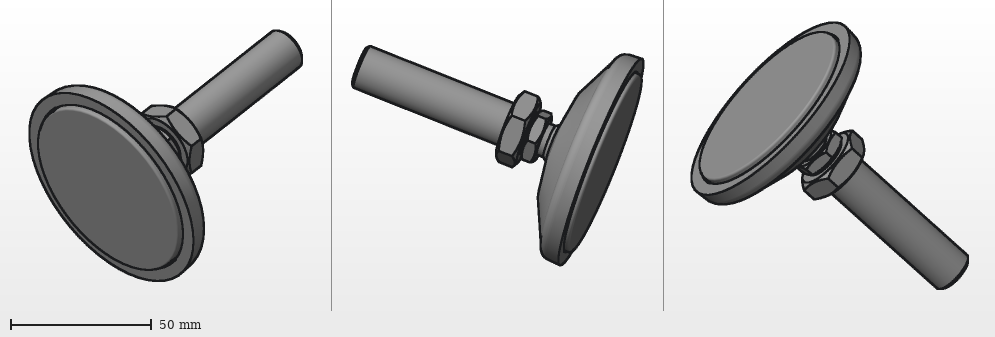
import cadquery as cq
import math

TOTAL_LENGTH = 94.7

PAD_RADIUS = 34.0
PAD_EDGE_ROUND = 0.85
PAD_TOP_Y = 4.7

BASE_RADIUS = 39.5
BASE_BOTTOM_Y = 1.9
SHOULDER_RADIUS = 39.2
SHOULDER_Y = 6.5
CONE_FOOT_RADIUS = 36.0
CONE_FOOT_Y = 10.1
CONE_BREAK_RADIUS = 20.9
CONE_BREAK_Y = 17.5
MOUTH_Y = 20.1
PAD_RECESS_RADIUS = 34.5

BALL_RADIUS = 7.8
BALL_CENTRE_Y = 16.8
NECK_RADIUS = 6.01
STUD_RADIUS = 8.0
STUD_CHAMFER = 0.9
COLLAR_RADIUS = 7.7
HEX_BOTTOM_Y = 24.15
HEX_TOP_Y = 29.0
HEX_FLATS = 17.0
HEX_FACE_RADIUS = 8.3

NUT_BOTTOM_Y = 29.6
NUT_HEIGHT = 8.0
NUT_FLATS = 24.0
NUT_FACE_RADIUS = 11.4

HEX_BEVEL_ANGLE = 30.0


def cylinder(radius, bottom_y, top_y):
    """Cylinder about the Y axis."""
    plane = cq.Workplane("XZ", origin=(0, bottom_y, 0))
    return plane.circle(radius).extrude(bottom_y - top_y)


def ball():
    """Ball end of the stud, which also shapes its socket."""
    return cq.Workplane("XY", origin=(0, BALL_CENTRE_Y, 0)).sphere(BALL_RADIUS)


def bevelled_hexagon(flats, face_radius, bottom_y, height, turn):
    """Hexagon about Y with corners turned down to a circle at both faces."""
    corner_radius = flats / math.sqrt(3)
    bevel = (corner_radius - face_radius) * math.tan(math.radians(HEX_BEVEL_ANGLE))
    top_y = bottom_y + height
    prism = (
        cq.Workplane("XZ", origin=(0, bottom_y, 0))
        .polygon(6, 2 * corner_radius)
        .extrude(-height)
        .rotate((0, 0, 0), (0, 1, 0), turn)
    )
    envelope = (
        cq.Workplane("XY")
        .moveTo(0, bottom_y)
        .lineTo(face_radius, bottom_y)
        .lineTo(corner_radius, bottom_y + bevel)
        .lineTo(corner_radius, top_y - bevel)
        .lineTo(face_radius, top_y)
        .lineTo(0, top_y)
        .close()
        .revolve(360, (0, 0, 0), (0, 1, 0))
    )
    return prism.intersect(envelope)


def make_pad():
    """Round pad with a rounded lower edge."""
    return cylinder(PAD_RADIUS, 0, PAD_TOP_Y).faces("<Y").edges().fillet(PAD_EDGE_ROUND)


def make_base():
    """Domed plate with a pad recess below and a ball socket above."""
    mouth_radius = math.sqrt(BALL_RADIUS**2 - (MOUTH_Y - BALL_CENTRE_Y) ** 2)
    dome = (
        cq.Workplane("XY")
        .moveTo(0, BASE_BOTTOM_Y)
        .lineTo(BASE_RADIUS, BASE_BOTTOM_Y)
        .lineTo(SHOULDER_RADIUS, SHOULDER_Y)
        .tangentArcPoint((CONE_FOOT_RADIUS, CONE_FOOT_Y), relative=False)
        .lineTo(CONE_BREAK_RADIUS, CONE_BREAK_Y)
        .lineTo(mouth_radius, MOUTH_Y)
        .lineTo(0, MOUTH_Y)
        .close()
        .revolve(360, (0, 0, 0), (0, 1, 0))
    )
    recess = cylinder(PAD_RECESS_RADIUS, BASE_BOTTOM_Y, PAD_TOP_Y)
    return dome.cut(recess).cut(ball())


def make_stud():
    """Ball, neck, fixed hexagon, collar and shank in one piece."""
    neck = cylinder(NECK_RADIUS, BALL_CENTRE_Y, HEX_BOTTOM_Y)
    hexagon = bevelled_hexagon(
        HEX_FLATS, HEX_FACE_RADIUS, HEX_BOTTOM_Y, HEX_TOP_Y - HEX_BOTTOM_Y, turn=0
    )
    collar = cylinder(COLLAR_RADIUS, HEX_TOP_Y, NUT_BOTTOM_Y)
    shank = cylinder(STUD_RADIUS, NUT_BOTTOM_Y, TOTAL_LENGTH).faces(">Y").edges().chamfer(STUD_CHAMFER)
    return ball().union(neck).union(hexagon).union(collar).union(shank)


def make_nut():
    """Hexagon lock nut, turned so that two flats face along X."""
    blank = bevelled_hexagon(NUT_FLATS, NUT_FACE_RADIUS, NUT_BOTTOM_Y, NUT_HEIGHT, turn=30)
    return blank.cut(cylinder(STUD_RADIUS, NUT_BOTTOM_Y, NUT_BOTTOM_Y + NUT_HEIGHT))


pad = make_pad()
base = make_base()
stud = make_stud()
nut = make_nut()

result = cq.Compound.makeCompound([pad.val(), base.val(), stud.val(), nut.val()])